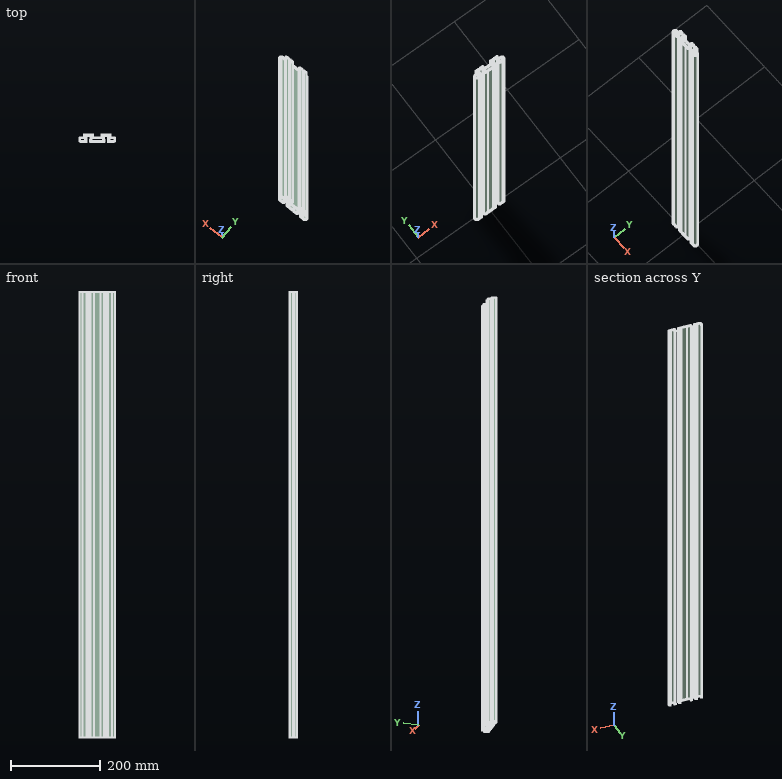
import cadquery as cq
import math

length = 1000.0
width = 80.0
half_width = width / 2
top = 8.2
bottom = -top

body_thickness = 10.0
body_top = bottom + body_thickness
body_corner_radius = 4.0
body_top_chamfer = 2.0

wall = 1.5
hollow_corner_radius = 1.0
hollow_to_slot = 7.0

rail_offset = 20.0
rail_side_center_y = 8.6
rail_side_bottom_y = 4.0
rail_top_half = 10.0
rail_top_setback = 0.3
rail_side_radius = rail_top_half + rail_top_setback
rail_top_chamfer = 0.4
notch_half = 2.0
notch_depth = 2.0

mouth_half = 4.0
mouth_radius = 1.0
lip_top = -4.0
neck_half = 4.5
chamber_radius = 4.6
chamber_flat_half = 2.0
chamber_top = 5.3

groove_to_slot = 13.0
groove_width = 0.4
groove_depth = 0.2

SIN_45 = math.sin(math.radians(45))


def box_between(x_min, x_max, y_min, y_max):
    """Full-length block between two X and two Y limits."""
    block = cq.Workplane().box(x_max - x_min, y_max - y_min, length)
    return block.translate(((x_min + x_max) / 2, (y_min + y_max) / 2, 0))


def mirrored_prism(half_outline):
    """Full-length solid from half an outline that starts and ends on X = 0."""
    half = half_outline.close().extrude(length / 2, both=True)
    return half.union(half.mirror("YZ"))


def make_body():
    block = box_between(-half_width, half_width, bottom, body_top)
    block = block.edges("|Z and <Y").fillet(body_corner_radius)
    return block.edges("|Z and >Y").chamfer(body_top_chamfer)


def rail_side_half(y):
    """Half width of the rail where its side is round."""
    return math.sqrt(rail_side_radius**2 - (rail_side_center_y - y) ** 2)


def make_rail():
    side_top_y = top - rail_top_chamfer
    side_middle_y = (side_top_y + rail_side_bottom_y) / 2
    side_bottom_half = rail_side_half(rail_side_bottom_y)

    lean = (rail_side_center_y - rail_side_bottom_y) / side_bottom_half
    foot_half = side_bottom_half - lean * (rail_side_bottom_y - body_top)

    return mirrored_prism(
        cq.Workplane()
        .moveTo(0, body_top)
        .lineTo(foot_half, body_top)
        .lineTo(side_bottom_half, rail_side_bottom_y)
        .threePointArc(
            (rail_side_half(side_middle_y), side_middle_y),
            (rail_side_half(side_top_y), side_top_y),
        )
        .lineTo(rail_top_half, top)
        .lineTo(notch_half, top)
        .lineTo(0, top - notch_depth)
    )


def make_slot():
    mouth_inset = mouth_radius * (1 - SIN_45)
    chamber_half = chamber_flat_half + chamber_radius
    chamber_side_y = chamber_top - chamber_radius
    arc_reach = chamber_radius * SIN_45

    return mirrored_prism(
        cq.Workplane()
        .moveTo(0, bottom)
        .lineTo(mouth_half + mouth_radius, bottom)
        .threePointArc(
            (mouth_half + mouth_inset, bottom + mouth_inset),
            (mouth_half, bottom + mouth_radius),
        )
        .lineTo(mouth_half, lip_top)
        .lineTo(neck_half, lip_top)
        .lineTo(neck_half, chamber_side_y)
        .lineTo(chamber_half, chamber_side_y)
        .threePointArc(
            (chamber_flat_half + arc_reach, chamber_side_y + arc_reach),
            (chamber_flat_half, chamber_top),
        )
        .lineTo(0, chamber_top)
    )


def make_groove(x):
    return (
        cq.Workplane()
        .moveTo(x - groove_width / 2, bottom)
        .lineTo(x + groove_width / 2, bottom)
        .lineTo(x, bottom + groove_depth)
        .close()
        .extrude(length / 2, both=True)
    )


def make_hollow(x_min, x_max):
    block = box_between(x_min, x_max, bottom + wall, body_top - wall)
    return block.edges("|Z").fillet(hollow_corner_radius)


outer_hollow_start = rail_offset + hollow_to_slot
outer_hollow_end = half_width - wall
inner_hollow_end = rail_offset - hollow_to_slot

result = make_body()

for slot_x in (-rail_offset, rail_offset):
    result = result.union(make_rail().translate((slot_x, 0, 0)))
    result = result.cut(make_slot().translate((slot_x, 0, 0)))
    for groove_x in (slot_x - groove_to_slot, slot_x + groove_to_slot):
        result = result.cut(make_groove(groove_x))

result = result.cut(make_hollow(-outer_hollow_end, -outer_hollow_start))
result = result.cut(make_hollow(-inner_hollow_end, inner_hollow_end))
result = result.cut(make_hollow(outer_hollow_start, outer_hollow_end))